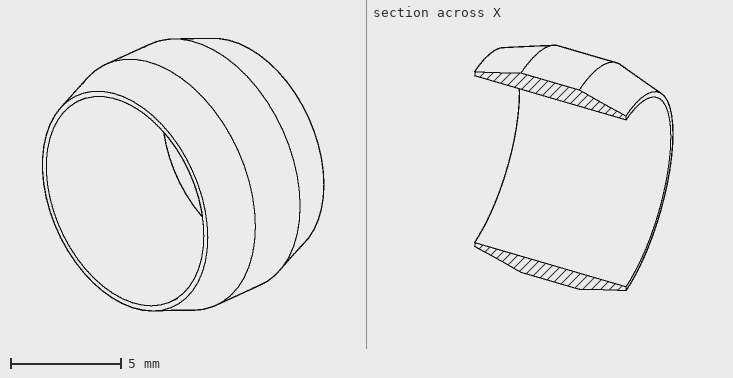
import cadquery as cq
import math

outer_diameter = 12.0
end_diameter = 10.5
bore_diameter = 10.0
ring_length = 7.5
taper_angle = 18.0

outer_radius = outer_diameter / 2
end_radius = end_diameter / 2
bore_radius = bore_diameter / 2
half_length = ring_length / 2
taper_length = (outer_radius - end_radius) / math.tan(math.radians(taper_angle))
half_band = half_length - taper_length

wall_section = (
    cq.Workplane("XY")
    .moveTo(bore_radius, -half_length)
    .lineTo(end_radius, -half_length)
    .lineTo(outer_radius, -half_band)
    .lineTo(outer_radius, half_band)
    .lineTo(end_radius, half_length)
    .lineTo(bore_radius, half_length)
    .close()
)

result = wall_section.revolve(360, (0, 0, 0), (0, 1, 0))